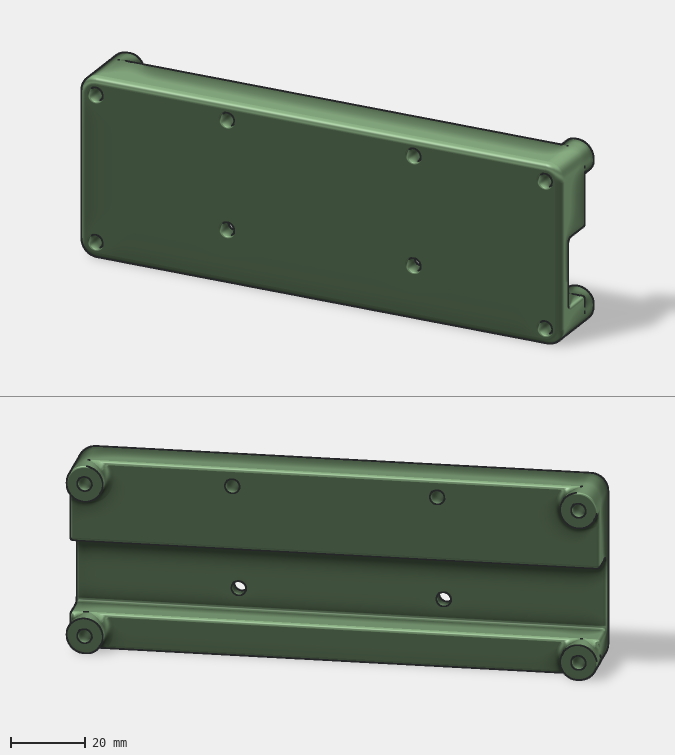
import cadquery as cq
import math

length = 145.0
height = 53.0
rim_depth = 15.0
post_depth = 20.0
corner_radius = 5.0
front_edge_radius = 2.0
rim_edge_radius = 1.0

post_radius = corner_radius
post_x = length / 2 - post_radius
post_z = height / 2 - post_radius
post_foot_radius = 2.0
post_end_radius = 0.5

channel_floor = 5.0
channel_height = 20.0
channel_corner_radius = 1.0
channel_bottom = post_radius - post_z
channel_top = channel_bottom + channel_height

hole_diameter = 4.0
hole_mouth_radius = 0.5
middle_hole_x = 28.0
middle_hole_low_z = -10.5

corner_points = [(x, z) for x in (-post_x, post_x) for z in (-post_z, post_z)]
middle_points = [(x, z) for x in (-middle_hole_x, middle_hole_x) for z in (middle_hole_low_z, post_z)]

margin = 0.01


def facing_back():
    """Plane of the front face: local x along X, local y along Z, negative extrusion toward +Y."""
    return cq.Workplane("XZ")


def inside_box(low, high):
    """Selector for everything that lies wholly inside the box between two corners."""
    grown_low = tuple(value - margin for value in low)
    grown_high = tuple(value + margin for value in high)
    return cq.selectors.BoxSelector(grown_low, grown_high, boundingbox=True)


def make_outline():
    """Full-depth block with rounded corners, before the back is lowered to the rim."""
    block = facing_back().rect(length, height).extrude(-post_depth)
    block = block.edges("|Y").fillet(corner_radius)
    block = block.faces("<Y").edges().fillet(front_edge_radius)
    return block.faces(">Y").edges().fillet(post_end_radius)


def make_channel():
    """Bar with the section of the channel, rounded along the two floor corners."""
    channel = cq.Workplane("YZ").rect(post_depth, channel_height, centered=False)
    channel = channel.extrude(length, both=True).edges("|X and <Y").fillet(channel_corner_radius)
    return channel.translate((0, channel_floor, channel_bottom))


def make_rim_body():
    """Square-cornered body as deep as the rim, with every edge of the rim and channel mouths rounded."""
    body = facing_back().rect(length, height).extrude(-rim_depth).cut(make_channel())
    rim_edges = body.faces(">Y").edges()
    for end_x in (-length / 2, length / 2):
        mouth = inside_box((end_x, channel_floor, channel_bottom), (end_x, rim_depth, channel_top))
        rim_edges = rim_edges.add(body.edges(mouth))
    return rim_edges.fillet(rim_edge_radius)


def make_post_space():
    """Columns that keep their full depth: each post and the square outside it at the corner."""
    columns = facing_back().pushPoints(corner_points).circle(post_radius).extrude(-post_depth)
    for x, z in corner_points:
        outer_x = x + (post_radius if x > 0 else -post_radius) / 2
        outer_z = z + (post_radius if z > 0 else -post_radius) / 2
        corner = facing_back().center(outer_x, outer_z).rect(post_radius, post_radius).extrude(-post_depth)
        columns = columns.union(corner)
    return columns


def touches_post(point, x, z):
    """Whether a point lies on the round wall of the post centred on x, z."""
    return abs(math.hypot(point.x - x, point.z - z) - post_radius) < margin


def round_post_feet(body):
    """Blend each post into the rim around it."""
    foot_edges = []
    for x, z in corner_points:
        near_foot = inside_box(
            (x - post_radius, rim_depth - rim_edge_radius, z - post_radius),
            (x + post_radius, rim_depth, z + post_radius),
        )
        for edge in body.edges(near_foot).vals():
            if touches_post(edge.startPoint(), x, z) and touches_post(edge.endPoint(), x, z):
                foot_edges.append(edge)
    return body.newObject(foot_edges).fillet(post_foot_radius)


def cut_holes(body):
    """Through holes at the posts and in the middle, with rounded mouths in the front face."""
    bores = facing_back().pushPoints(corner_points + middle_points)
    bores = bores.circle(hole_diameter / 2).extrude(-post_depth)
    front_edges = body.cut(bores).faces("<Y").edges()
    hole_mouths = front_edges.filter(lambda edge: edge.IsClosed())
    return hole_mouths.fillet(hole_mouth_radius)


raised_body = make_rim_body().union(make_post_space())
result = cut_holes(round_post_feet(make_outline().intersect(raised_body)))